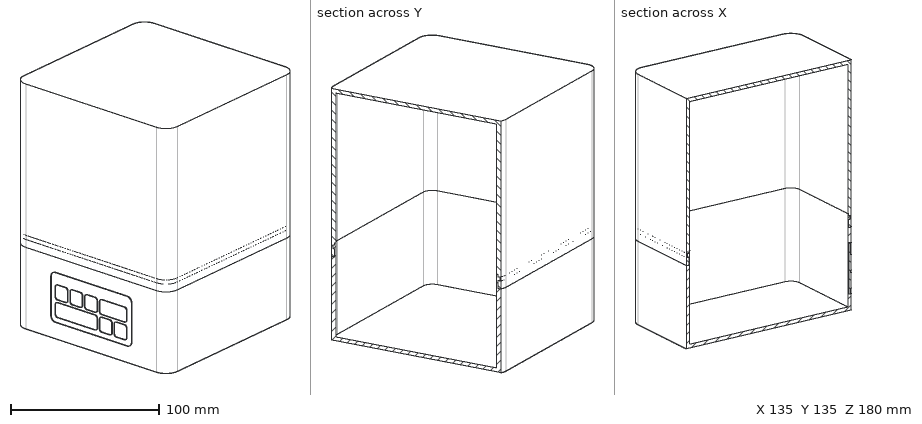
import cadquery as cq

side = 135.0
height = 180.0
corner_radius = 10.0
base_height = height / 3

wall = 3.0
floor_thickness = wall
roof_thickness = wall

lip_height = 10.0
lip_inset = 2.0
ridge_inset = 0.8
ridge_bottom = 5.4
ridge_top = 8.5

panel_width = 71.0
panel_height = 36.5
panel_bottom = 12.0
panel_radius = 4.0
panel_thickness = 0.7

sheet_thickness = 0.9
key_size = 11.0
key_pitch = 13.0
key_radius = 2.0
key_side_margin = 3.8
key_bottom_margin = 4.0
key_layout = [
    (0, 0, 3),
    (3, 0, 1),
    (4, 0, 1),
    (0, 1, 1),
    (1, 1, 1),
    (2, 1, 1),
    (3, 1, 2),
]

front_face = -side / 2
panel_left = -panel_width / 2
pocket_depth = panel_thickness + sheet_thickness


def rounded_block(inset, bottom, top):
    """Upright square block, set in evenly from the outer walls of the part."""
    width = side - 2 * inset
    block = cq.Workplane("XY").workplane(offset=bottom).rect(width, width).extrude(top - bottom)
    return block.edges("|Z").fillet(corner_radius - inset)


def front_plate(left, bottom, width, tall, radius, start_depth, thickness):
    """Rounded plate parallel to the -Y face, starting at a depth behind it."""
    plate = cq.Workplane("XY").box(width, thickness, tall, centered=False)
    plate = plate.edges("|Y").fillet(radius)
    return plate.translate((left, front_face + start_depth, bottom))


def panel_plate(start_depth, thickness):
    """Plate with the outline of the control panel."""
    return front_plate(
        panel_left, panel_bottom, panel_width, panel_height, panel_radius, start_depth, thickness
    )


def make_lip():
    """Lip with its snap ridge, still filled inside."""
    lip = rounded_block(lip_inset, base_height, base_height + lip_height)
    ridge = rounded_block(ridge_inset, base_height + ridge_bottom, base_height + ridge_top)
    return lip.union(ridge)


def make_cover(lip):
    """Cover closed at the top, recessed around the lip."""
    outer = rounded_block(0, base_height, height)
    cavity = rounded_block(wall, base_height, height - roof_thickness)
    return outer.cut(cavity).cut(lip)


def make_base(lip):
    """Base with a floor, the raised lip and a pocket for the panel."""
    outer = rounded_block(0, 0, base_height)
    cavity = rounded_block(wall, floor_thickness, base_height + lip_height)
    pocket = panel_plate(0, pocket_depth)
    return outer.union(lip).cut(cavity).cut(pocket)


def make_keypad():
    """All keys on their common sheet."""
    keypad = panel_plate(panel_thickness, sheet_thickness)
    for column, row, span in key_layout:
        left = panel_left + key_side_margin + column * key_pitch
        bottom = panel_bottom + key_bottom_margin + row * key_pitch
        width = key_size + (span - 1) * key_pitch
        key = front_plate(left, bottom, width, key_size, key_radius, 0, pocket_depth)
        keypad = keypad.union(key)
    return keypad


def make_panel(keypad):
    """Front plate with an opening for each key."""
    return panel_plate(0, panel_thickness).cut(keypad)


base_lip = make_lip()
cover = make_cover(base_lip)
base = make_base(base_lip)
keypad = make_keypad()
panel = make_panel(keypad)

result = cq.Compound.makeCompound([base.val(), cover.val(), panel.val(), keypad.val()])